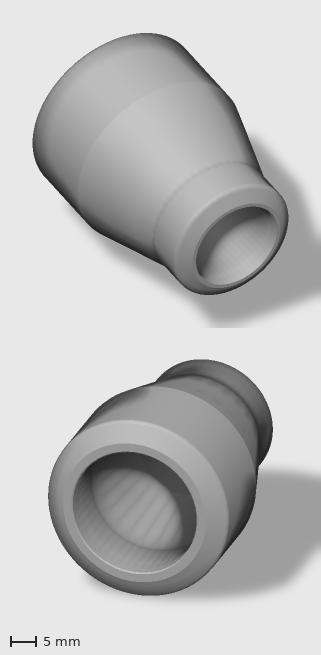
import cadquery as cq
import math

length = 50.0
large_length = 20.0
taper_length = 20.0
taper_end = large_length + taper_length

large_radius = 38.0 / 2
small_radius = 26.7 / 2
large_bore_radius = 26.0 / 2
small_bore_radius = 18.9 / 2

bore_taper_start = 12.0
bore_taper_end = bore_taper_start + taper_length

bevel_angle = math.radians(30)
large_face_radius = 30.0 / 2
small_face_radius = 20.5 / 2

large_bevel_round = 1.0
small_bevel_round = 1.2

large_taper_round = 0.7
small_taper_round = 1.4

mouth_chamfer = 0.25

selection_margin = 0.05


def bevel_depth(outer_radius, face_radius):
    """Axial depth of a bevel between the end face and the outer wall."""
    return (outer_radius - face_radius) * math.tan(bevel_angle)


large_bevel = bevel_depth(large_radius, large_face_radius)
small_bevel = bevel_depth(small_radius, small_face_radius)


def revolve_about_x(points):
    """Solid of revolution about X from (x, radius) outline points."""
    return cq.Workplane("XZ").polyline(points).close().revolve(360, (0, 0, 0), (1, 0, 0))


def round_edge(body, x, round_radius):
    """Blend the circular edge whose centre lies on the X axis at x."""
    near = selection_margin
    centre_box = cq.selectors.BoxSelector((x - near, -near, -near), (x + near, near, near))
    return body.edges(centre_box).fillet(round_radius)


outer = revolve_about_x([
    (0, 0),
    (0, large_face_radius),
    (large_bevel, large_radius),
    (large_length, large_radius),
    (taper_end, small_radius),
    (length - small_bevel, small_radius),
    (length, small_face_radius),
    (length, 0),
])
outer = round_edge(outer, large_bevel, large_bevel_round)
outer = round_edge(outer, length - small_bevel, small_bevel_round)
outer = round_edge(outer, large_length, large_taper_round)
outer = round_edge(outer, taper_end, small_taper_round)

bore = revolve_about_x([
    (0, 0),
    (0, large_bore_radius + mouth_chamfer),
    (mouth_chamfer, large_bore_radius),
    (bore_taper_start, large_bore_radius),
    (bore_taper_end, small_bore_radius),
    (length, small_bore_radius),
    (length, 0),
])

result = outer.cut(bore)